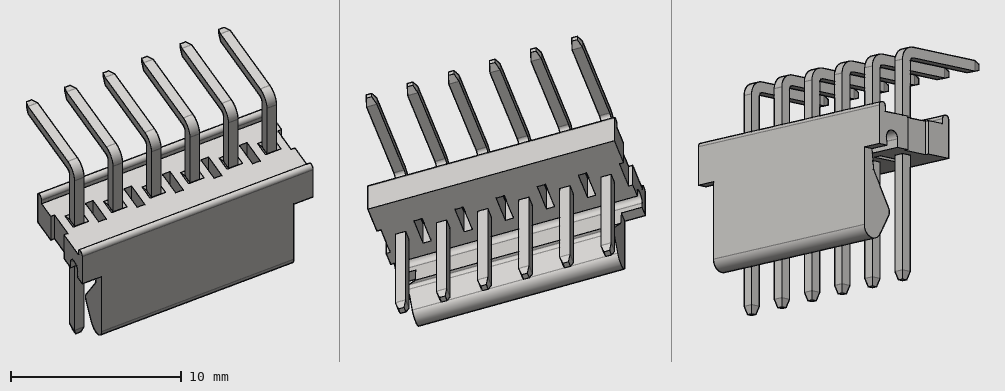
import cadquery as cq
import math


pin_count = 6
housing_length = 15.24
pitch = housing_length / pin_count
pin_width = 0.64
pin_top = 6.52
pin_bottom = -7.48
pin_reach = 6.07
bend_inner_radius = 0.27
bend_outer_radius = 0.85
tip_length = 0.5
tip_width = 0.35

housing_left = -2.53
housing_right = 3.12
floor_top = 2.01
rib_top = 2.56
rib_width = 0.5

gap_offset = 1.66
gap_length = 1.68
gap_width = 0.5

pocket_width = 1.02
pocket_depth = (pocket_width - pin_width) / 2

groove_left = 1.65
groove_width = 0.9
groove_top = 0.96

latch_length = (pin_count - 1) * pitch
latch_neck_x = 2.36
latch_neck_z = -1.22
latch_tip_z = -3.58
latch_slope = math.radians(30)
latch_tip_radius = 0.45
latch_end_radius = 0.7

pin_places = [(i - (pin_count - 1) / 2) * pitch for i in range(pin_count)]
gap_places = [(i - pin_count / 2) * pitch for i in range(pin_count + 1)]

groove_radius = groove_width / 2
groove_right = groove_left + groove_width
groove_center_z = groove_top - groove_radius
neck_share = groove_center_z / (groove_center_z - latch_neck_z)
root_x = groove_right + (latch_neck_x - groove_right) * neck_share


def extrude_along_y(outline, length):
    """Extrude an XZ outline symmetrically about the middle of the row."""
    return outline.extrude(length / 2, both=True)


def make_housing():
    rib_radius = rib_width / 2
    rib_shoulder = rib_top - rib_radius
    outline = (
        cq.Workplane("XZ")
        .moveTo(housing_left, 0)
        .lineTo(housing_left, rib_shoulder)
        .threePointArc((housing_left + rib_radius, rib_top), (housing_left + rib_width, rib_shoulder))
        .lineTo(housing_left + rib_width, floor_top)
        .lineTo(housing_right - rib_width, floor_top)
        .lineTo(housing_right - rib_width, rib_shoulder)
        .threePointArc((housing_right - rib_radius, rib_top), (housing_right, rib_shoulder))
        .lineTo(housing_right, 0)
        .lineTo(root_x, 0)
        .lineTo(groove_right, groove_center_z)
        .threePointArc((groove_left + groove_radius, groove_top), (groove_left, groove_center_z))
        .lineTo(groove_left, 0)
        .close()
    )
    return extrude_along_y(outline, housing_length)


def make_gaps():
    gap_center = housing_left + gap_offset + gap_length / 2
    return (
        cq.Workplane("XY")
        .pushPoints([(gap_center, y) for y in gap_places])
        .rect(gap_length, gap_width)
        .extrude(floor_top)
    )


def make_pocket(y):
    return (
        cq.Workplane("XY", origin=(0, y, floor_top - pocket_depth))
        .rect(pin_width, pin_width)
        .workplane(offset=pocket_depth)
        .rect(pocket_width, pocket_width)
        .loft(ruled=True)
    )


def make_latch():
    tip_x = latch_neck_x - (latch_neck_z - latch_tip_z) * math.tan(latch_slope)
    end_z = latch_tip_z - (housing_right - tip_x) / math.tan(latch_slope)
    outline = (
        cq.Workplane("XZ")
        .moveTo(housing_right, 0)
        .lineTo(root_x, 0)
        .lineTo(latch_neck_x, latch_neck_z)
        .lineTo(tip_x, latch_tip_z)
        .lineTo(housing_right, end_z)
        .close()
    )
    latch = extrude_along_y(outline, latch_length)
    tip_edge = cq.selectors.NearestToPointSelector((tip_x, 0, latch_tip_z))
    latch = latch.edges(tip_edge).fillet(latch_tip_radius)
    return latch.edges("<Z").fillet(latch_end_radius)


def make_tip(plane):
    return (
        cq.Workplane(plane)
        .rect(pin_width, pin_width)
        .workplane(offset=tip_length)
        .rect(tip_width, tip_width)
        .loft(ruled=True)
    )


def make_pin():
    half = pin_width / 2
    arm_end = tip_length - pin_reach
    shank_end = pin_bottom + tip_length
    outline = (
        cq.Workplane("XZ")
        .moveTo(arm_end, pin_top)
        .lineTo(half - bend_outer_radius, pin_top)
        .radiusArc((half, pin_top - bend_outer_radius), bend_outer_radius)
        .lineTo(half, shank_end)
        .lineTo(-half, shank_end)
        .lineTo(-half, pin_top - pin_width - bend_inner_radius)
        .radiusArc((-half - bend_inner_radius, pin_top - pin_width), -bend_inner_radius)
        .lineTo(arm_end, pin_top - pin_width)
        .close()
    )
    arm_face = cq.Plane(origin=(arm_end, 0, pin_top - half), xDir=(0, 1, 0), normal=(-1, 0, 0))
    shank_face = cq.Plane(origin=(0, 0, shank_end), xDir=(1, 0, 0), normal=(0, 0, -1))
    return extrude_along_y(outline, pin_width).union(make_tip(arm_face)).union(make_tip(shank_face))


result = make_housing().cut(make_gaps()).union(make_latch())
pin = make_pin()
for y in pin_places:
    result = result.cut(make_pocket(y)).union(pin.translate((0, y, 0)))